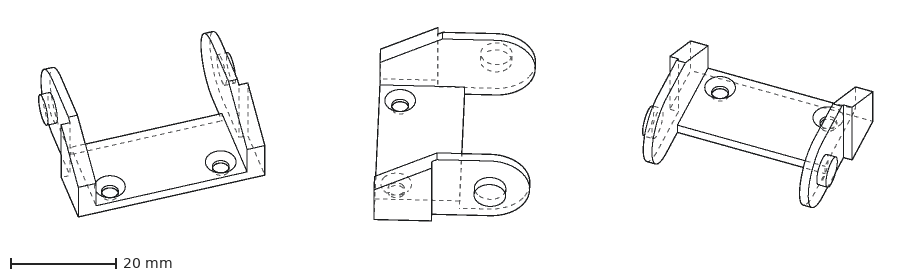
import cadquery as cq
import math

length = 29.5
width = 37.3
height = 15.0

end_radius = height / 2
arm_inner_y = 15.0
arm_thickness = 1.8
arm_outer_y = arm_inner_y + arm_thickness
rear_height = 8.15
slope_angle = 30.0
slope_start_x = length - (height - rear_height) / math.tan(math.radians(slope_angle))

block_start_x = 18.58
block_outer_y = 18.55

pin_radius = 3.0
pin_outer_y = width / 2

plate_start_x = 13.4
plate_thickness = 2.0
hole_x = length - 4.0
hole_y = 11.0
hole_diameter = 3.2
sink_diameter = 5.82
sink_angle = 90.0


def arm_profile(thickness):
    """Full arm outline, extruded from y = 0 towards -Y."""
    return (
        cq.Workplane("XZ")
        .moveTo(end_radius, 0)
        .lineTo(length, 0)
        .lineTo(length, rear_height)
        .lineTo(slope_start_x, height)
        .lineTo(end_radius, height)
        .threePointArc((0, end_radius), (end_radius, 0))
        .close()
        .extrude(thickness)
    )


def make_side():
    """Arm, rear block and pin on the -Y side."""
    arm = arm_profile(arm_thickness).translate((0, -arm_inner_y, 0))

    block_thickness = block_outer_y - arm_inner_y
    rear_zone = cq.Workplane("XY").box(
        length - block_start_x, width, height, centered=(False, True, False)
    ).translate((block_start_x, 0, 0))
    block = arm_profile(block_thickness).translate((0, -arm_inner_y, 0)).intersect(rear_zone)

    pin = (
        cq.Workplane("XZ", origin=(end_radius, -arm_inner_y, end_radius))
        .circle(pin_radius)
        .extrude(pin_outer_y - arm_inner_y)
    )
    return arm.union(block).union(pin)


def make_plate():
    """Base plate between the arms, with countersinks on its top face."""
    plate = cq.Workplane("XY").box(
        length - plate_start_x, 2 * arm_inner_y, plate_thickness, centered=(False, True, False)
    ).translate((plate_start_x, 0, 0))
    return (
        plate.faces(">Z")
        .workplane(origin=(0, 0, 0))
        .pushPoints([(hole_x, -hole_y), (hole_x, hole_y)])
        .cskHole(hole_diameter, sink_diameter, sink_angle)
    )


side = make_side()
result = make_plate().union(side).union(side.mirror("XZ"))